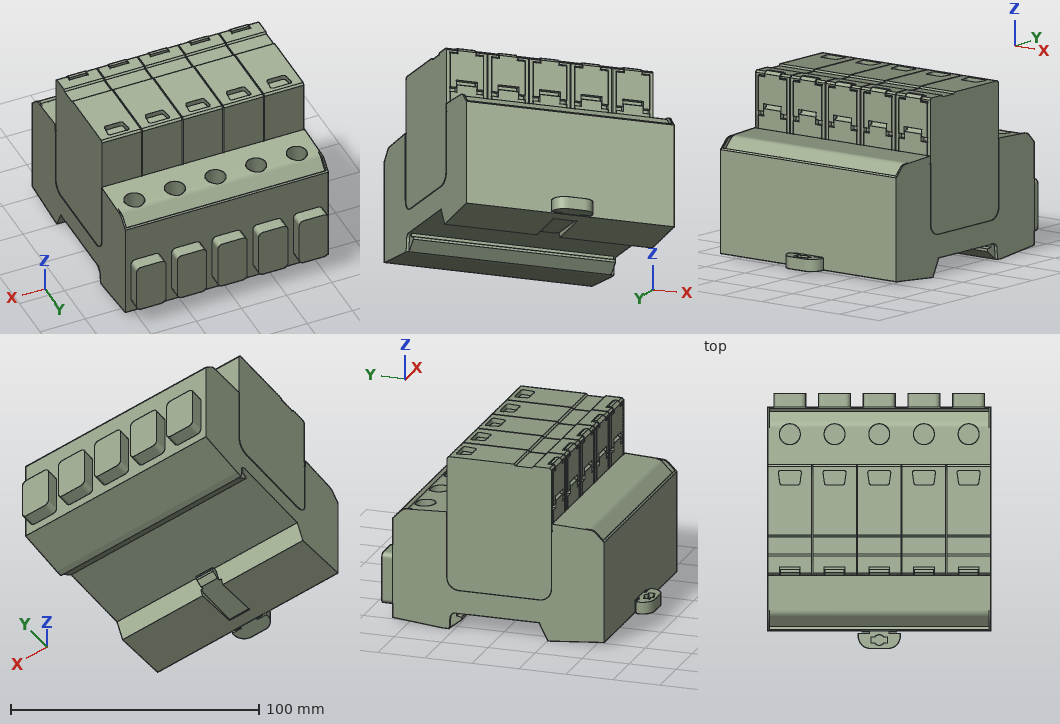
import cadquery as cq
import math


POLES = 5
PITCH = 18.0
BASE_WIDTH = POLES * PITCH
BASE_DEPTH = 90.1
FRONT_BOTTOM_Z = 2.2
BACK_BOTTOM_Z = 2.5
BACK_FOOT_Z = 0.4
SHOULDER_Z = 44.9
DECK_Z = 50.3
DECK_CORNER = 4.5
CORNER_RADIUS = 3.7
PANEL_DEPTH = 1.5
PANEL_EDGE = 0.6
FRAME = 0.7

RAIL_Z = 7.4
FRONT_FOOT_Y = 24.0
RAIL_FRONT_Y = 27.8
RAIL_BACK_Y = 63.2
BACK_FOOT_Y = 66.0
BACK_FOOT_FLAT = 2.7
BACK_WALL_LEAN = 0.3
BACK_ARC_DROP = 2.1
BACK_ARC_MIDDLE = (1.7, 0.7)
HOOK_TIP = 61.2
HOOK_TIP_Z = (4.3, 5.4)
HOOK_ROOT_Z = 5.9
HOOK_INSET = 1.2

MODULE_WIDTH = 17.5
MODULE_FRONT = 22.5
MODULE_BACK = 67.0
MODULE_FLOOR = 17.2
MODULE_TOP = 73.9
MODULE_RADIUS = 5.1
EDGE_CHAMFER = 0.8
TOP_GROOVE = (30.1, 38.5)
GROOVE_DEPTH = 0.7

PLATE_WIDTH = 14.5
PLATE_FRONT = 22.2
PLATE_BOTTOM = 47.0
PLATE_TOP = 71.9
PLATE_GROOVE = (0.4, 0.5)
TONGUE_WIDTH = 7.7
TONGUE_BACK = 24.8
TONGUE_TOP = 74.3
TONGUE_BEVEL = 1.2
NOTCH_WIDTH = 8.3
NOTCH_BACK = 25.6
STEP_WIDTH = 9.0
TAB_WIDTH = 8.6
STEP_SIDE_Z = 55.6
STEP_MIDDLE_Z = 58.7
STEP_GAP = 2.0

GRIP_FRONT = 58.7
GRIP_BACK = 64.6
GRIP_FRONT_WIDTH = 7.9
GRIP_BACK_WIDTH = 9.6
GRIP_RADIUS = 0.9
GRIP_DEPTH = 2.1

SCREW_RADIUS = 4.2
SCREW_Y = 79.2
SCREW_FLOOR = 39.1
TERMINAL_WIDTH = 13.0
TERMINAL_BOTTOM = 6.8
TERMINAL_TOP = 28.4
TERMINAL_LENGTH = 5.5
TERMINAL_RADIUS = 2.1

SLIDE_WIDTH = 8.0
SLIDE_BOTTOM = 2.4
SLIDE_REACH = 7.2
HEAD_WIDTH = 17.1
HEAD_BACK = -1.0
HEAD_RADIUS = 5.1
GUIDE_WIDTH = 14.0
GUIDE_THICKNESS = 0.4
TOOL_Y = -3.7
TOOL_RADIUS = 2.2
TOOL_DEPTH = 2.6
TOOL_SLOT = (6.8, 2.5)
NOSE_TIP = 29.7
NOSE_TOP = 6.3
NOSE_BEVEL = 0.5
NOSE_UNDERSIDE = [(26.3, SLIDE_BOTTOM), (29.2, 4.0), (NOSE_TIP, 4.6)]
CHANNEL_WIDTH = 10.1
CHANNEL_START = 5.7

PICK = 0.1

pole_positions = [(i - (POLES - 1) / 2) * PITCH for i in range(POLES)]


def across(outline, width):
    """Extrude a closed YZ outline to the given width, centred on X = 0."""
    return outline.extrude(width / 2, both=True)


def block(x, width, y, z):
    """Box centred on x, spanning the given Y and Z ranges."""
    box = cq.Workplane("XY").box(width, y[1] - y[0], z[1] - z[0], centered=(True, False, False))
    return box.translate((x, y[0], z[0]))


def base_slab(corner_points, corner, width):
    """Base profile whose upper corners follow corner_points (front half, mirrored to the back)."""
    front = corner_points + [corner, (MODULE_FRONT, DECK_Z)]
    back = [(BASE_DEPTH - y, z) for y, z in reversed(front)]
    outline = (
        cq.Workplane("YZ")
        .moveTo(BASE_DEPTH, BACK_BOTTOM_Z)
        .lineTo(BACK_FOOT_Y + BACK_FOOT_FLAT, BACK_FOOT_Z)
        .lineTo(BACK_FOOT_Y, BACK_FOOT_Z)
        .lineTo(BACK_FOOT_Y - BACK_WALL_LEAN, RAIL_Z - BACK_ARC_DROP)
        .threePointArc((RAIL_BACK_Y + BACK_ARC_MIDDLE[0], RAIL_Z - BACK_ARC_MIDDLE[1]), (RAIL_BACK_Y, RAIL_Z))
        .lineTo(RAIL_FRONT_Y, RAIL_Z)
        .lineTo(FRONT_FOOT_Y, 0)
        .lineTo(0, FRONT_BOTTOM_Z)
    )
    for y, z in front + back:
        outline = outline.lineTo(y, z)
    slab = across(outline.close(), width)
    for y in (corner[0], BASE_DEPTH - corner[0]):
        low = (-width, y - PICK, corner[1] - PICK)
        high = (width, y + PICK, corner[1] + PICK)
        near = cq.selectors.BoxSelector(low, high)
        slab = slab.edges(near).fillet(CORNER_RADIUS)
    return slab


def make_base():
    """Base with recessed corner slopes, module bay and screw holes."""
    slope = (DECK_Z - SHOULDER_Z - DECK_CORNER) / (MODULE_FRONT - DECK_CORNER)
    outer_corner = (DECK_CORNER, SHOULDER_Z + DECK_CORNER)
    rim = base_slab([(0, SHOULDER_Z)], outer_corner, BASE_WIDTH)

    shift = PANEL_DEPTH / math.sqrt(2)
    sunk_z = SHOULDER_Z - 2 * shift
    inner_y = (DECK_Z - slope * MODULE_FRONT - sunk_z) / (1 - slope)
    recess_edge = [
        (0, SHOULDER_Z),
        (PANEL_EDGE, SHOULDER_Z + PANEL_EDGE),
        (PANEL_EDGE + shift, sunk_z + PANEL_EDGE + shift),
    ]
    inner_corner = (inner_y, sunk_z + inner_y)
    core = base_slab(recess_edge, inner_corner, BASE_WIDTH - 2 * FRAME)
    middle = block(0, BASE_WIDTH - 2 * FRAME, (0, BASE_DEPTH), (0, TONGUE_TOP))
    base = rim.cut(middle).union(core)

    bay = block(0, BASE_WIDTH, (MODULE_FRONT, MODULE_BACK), (MODULE_FLOOR, TONGUE_TOP))
    bay = bay.edges("|X and <Z").fillet(MODULE_RADIUS)
    clearance = block(0, BASE_WIDTH, (PLATE_FRONT, MODULE_FRONT), (PLATE_BOTTOM, TONGUE_TOP))
    base = base.cut(bay).cut(clearance)

    for x in pole_positions:
        screw = cq.Workplane("XY", origin=(x, SCREW_Y, SCREW_FLOOR)).circle(SCREW_RADIUS).extrude(DECK_Z)
        base = base.cut(screw)
    return base


def make_terminal(x):
    """Rounded terminal block behind the base."""
    reach = (BASE_DEPTH, BASE_DEPTH + TERMINAL_LENGTH)
    terminal = block(x, TERMINAL_WIDTH, reach, (TERMINAL_BOTTOM, TERMINAL_TOP))
    return terminal.edges("|Y").fillet(TERMINAL_RADIUS)


def make_plate():
    """Label plate with a bevelled tongue hooked over the top edge of the module."""
    plate = block(0, PLATE_WIDTH, (PLATE_FRONT, MODULE_FRONT), (PLATE_BOTTOM, PLATE_TOP))
    tongue = block(0, TONGUE_WIDTH, (PLATE_FRONT, TONGUE_BACK), (PLATE_TOP, TONGUE_TOP))
    tongue = tongue.edges("|X and >Z and <Y").chamfer(TONGUE_BEVEL)
    return plate.union(tongue)


def make_step_gap():
    """Stepped gap dividing the label plate, with a hollow floor in its raised middle."""
    depth = (PLATE_FRONT, PLATE_FRONT + STEP_GAP)
    gap = block(0, PLATE_WIDTH, depth, (STEP_SIDE_Z, STEP_SIDE_Z + STEP_GAP))
    gap = gap.union(block(0, STEP_WIDTH, depth, (STEP_SIDE_Z, STEP_MIDDLE_Z + STEP_GAP)))
    diagonal = STEP_GAP * math.sin(math.pi / 4)
    arc_middle = (depth[0] + diagonal, STEP_MIDDLE_Z + STEP_GAP - diagonal)
    tab = (
        cq.Workplane("YZ")
        .moveTo(depth[0], STEP_SIDE_Z)
        .lineTo(depth[0], STEP_MIDDLE_Z)
        .threePointArc(arc_middle, (depth[1], STEP_MIDDLE_Z + STEP_GAP))
        .lineTo(depth[1], STEP_SIDE_Z)
        .close()
    )
    return gap.cut(across(tab, TAB_WIDTH))


def make_grip():
    """Tapered finger pocket in the top face."""
    outline = [
        (-GRIP_FRONT_WIDTH / 2, GRIP_FRONT),
        (GRIP_FRONT_WIDTH / 2, GRIP_FRONT),
        (GRIP_BACK_WIDTH / 2, GRIP_BACK),
        (-GRIP_BACK_WIDTH / 2, GRIP_BACK),
    ]
    grip = cq.Workplane("XY").polyline(outline).close().extrude(GRIP_DEPTH)
    return grip.edges("|Z").fillet(GRIP_RADIUS).translate((0, 0, MODULE_TOP - GRIP_DEPTH))


def make_module():
    """Plug-in module with its top groove, finger pocket and label plate."""
    module = block(0, MODULE_WIDTH, (MODULE_FRONT, MODULE_BACK), (MODULE_FLOOR, MODULE_TOP))
    module = module.edges("|X and <Z").fillet(MODULE_RADIUS)
    module = module.edges("|X and >Z").chamfer(EDGE_CHAMFER)
    groove = (
        cq.Workplane("YZ")
        .moveTo(TOP_GROOVE[0], MODULE_TOP)
        .lineTo(TOP_GROOVE[0] + GROOVE_DEPTH, MODULE_TOP - GROOVE_DEPTH)
        .lineTo(TOP_GROOVE[1] - GROOVE_DEPTH, MODULE_TOP - GROOVE_DEPTH)
        .lineTo(TOP_GROOVE[1], MODULE_TOP)
        .close()
    )
    notch = block(0, NOTCH_WIDTH, (MODULE_FRONT, NOTCH_BACK), (PLATE_TOP, MODULE_TOP))
    height, depth = PLATE_GROOVE
    groove_y = (MODULE_FRONT, MODULE_FRONT + depth)
    plate_groove = block(0, PLATE_WIDTH, groove_y, (PLATE_TOP, PLATE_TOP + height))
    module = module.cut(across(groove, MODULE_WIDTH)).cut(notch).cut(plate_groove).cut(make_grip())
    return module.union(make_plate()).cut(make_step_gap())


def make_hook():
    """Fixed hook at the back of the rail opening."""
    outline = (
        cq.Workplane("YZ")
        .moveTo(BACK_FOOT_Y, BACK_FOOT_Z)
        .lineTo(HOOK_TIP, HOOK_TIP_Z[0])
        .lineTo(HOOK_TIP, HOOK_TIP_Z[1])
        .lineTo(RAIL_BACK_Y, HOOK_ROOT_Z)
        .lineTo(RAIL_BACK_Y, RAIL_Z)
        .lineTo(BACK_FOOT_Y, RAIL_Z)
        .close()
    )
    return across(outline, BASE_WIDTH - 2 * HOOK_INSET)


def make_slide():
    """Latch slide: rounded head in front, bar through the foot and nose over the rail."""
    head = block(0, HEAD_WIDTH, (-SLIDE_REACH, HEAD_BACK), (SLIDE_BOTTOM, RAIL_Z))
    head = head.edges("|Z and <Y").fillet(HEAD_RADIUS)
    tool_floor = cq.Workplane("XY", origin=(0, TOOL_Y, RAIL_Z - TOOL_DEPTH))
    tool_hole = tool_floor.circle(TOOL_RADIUS).extrude(TOOL_DEPTH)
    tool_hole = tool_hole.union(tool_floor.rect(*TOOL_SLOT).extrude(TOOL_DEPTH))
    bar = block(0, SLIDE_WIDTH, (HEAD_BACK, FRONT_FOOT_Y), (SLIDE_BOTTOM, RAIL_Z))
    guide = block(0, GUIDE_WIDTH, (-GUIDE_THICKNESS, 0), (SLIDE_BOTTOM, RAIL_Z))
    nose_outline = [(FRONT_FOOT_Y, SLIDE_BOTTOM)] + NOSE_UNDERSIDE
    nose_outline += [(NOSE_TIP, NOSE_TOP - NOSE_BEVEL), (NOSE_TIP - NOSE_BEVEL, NOSE_TOP)]
    nose_outline += [(FRONT_FOOT_Y, NOSE_TOP)]
    nose = cq.Workplane("YZ").polyline(nose_outline).close()
    return head.cut(tool_hole).union(bar).union(guide).union(across(nose, SLIDE_WIDTH))


base = make_base()
channel = block(0, CHANNEL_WIDTH, (CHANNEL_START, RAIL_FRONT_Y), (0, SLIDE_BOTTOM))
result = base.cut(channel).union(make_hook()).union(make_slide())
module = make_module()
for x in pole_positions:
    result = result.union(module.translate((x, 0, 0))).union(make_terminal(x))